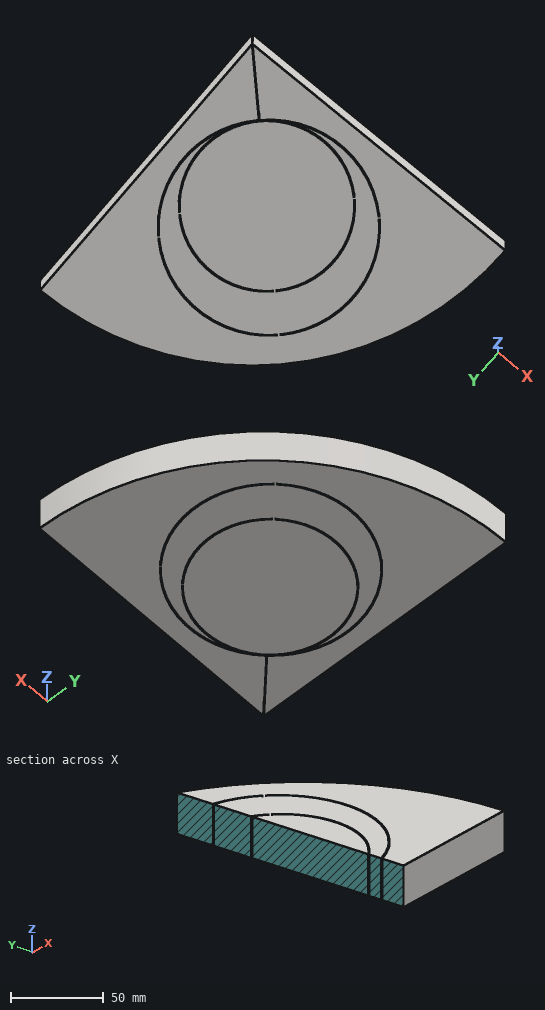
import cadquery as cq
import math

plate_radius = 178.0
plate_thickness = 25.0

cut_width = 0.45
outer_ring_inside_diameter = 118.7
inner_disc_diameter = 94.0
corner_to_cuts = 42.2
inner_cut_setback = 0.4

bridge_width = 2.0
bridge_angles = (-90, 0, 90)

outer_center = corner_to_cuts + cut_width + outer_ring_inside_diameter / 2
inner_center = corner_to_cuts + inner_cut_setback + cut_width + inner_disc_diameter / 2


def quarter_plate():
    mid_arc = plate_radius * math.sqrt(0.5)
    return (
        cq.Workplane("XY")
        .moveTo(0, 0)
        .lineTo(plate_radius, 0)
        .threePointArc((mid_arc, mid_arc), (0, plate_radius))
        .close()
        .extrude(plate_thickness)
    )


def ring_cut(inside_diameter, center):
    """Through ring on the X axis, interrupted by bridges on its far side and on both flanks."""
    ring = (
        cq.Workplane("XY")
        .center(center, 0)
        .circle(inside_diameter / 2 + cut_width)
        .circle(inside_diameter / 2)
        .extrude(plate_thickness)
    )
    bridge_length = inside_diameter / 2 + 2 * cut_width
    for angle in bridge_angles:
        bridge = (
            cq.Workplane("XY")
            .rect(bridge_length, bridge_width)
            .extrude(plate_thickness)
            .translate((bridge_length / 2, 0, 0))
            .rotate((0, 0, 0), (0, 0, 1), angle)
            .translate((center, 0, 0))
        )
        ring = ring.cut(bridge)
    return ring


def corner_slit():
    """Through slit along the X axis, from the corner into the ring cuts."""
    slit_end = corner_to_cuts + cut_width / 2
    return cq.Workplane("XY").rect(2 * slit_end, cut_width).extrude(plate_thickness)


plate_diagonal_angle = 45

cuts = [
    corner_slit(),
    ring_cut(outer_ring_inside_diameter, outer_center),
    ring_cut(inner_disc_diameter, inner_center),
]
result = quarter_plate()
for cut in cuts:
    result = result.cut(cut.rotate((0, 0, 0), (0, 0, 1), plate_diagonal_angle))